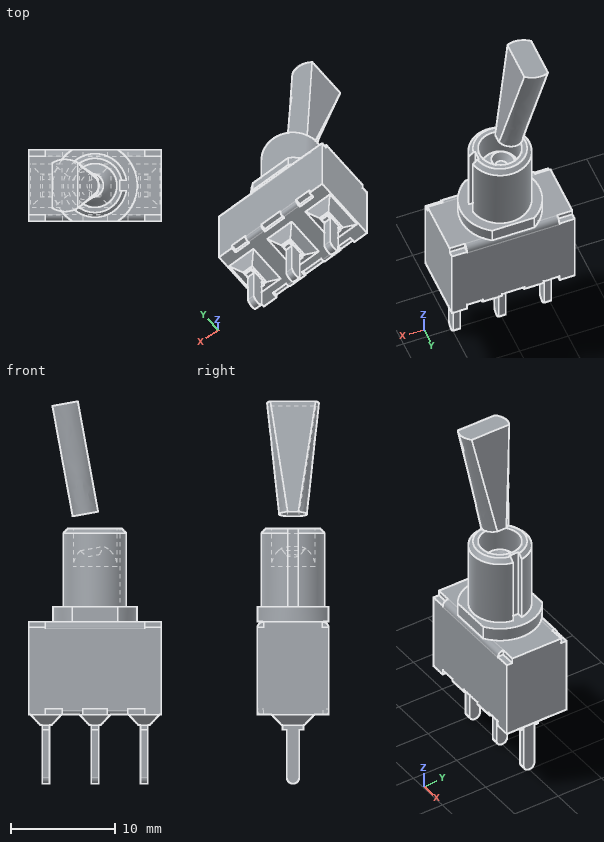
import cadquery as cq
import math


case_length = 12.7
case_width = 6.86
case_height = 8.92
cover_length = 9.55
cover_edge_radius = 0.65
end_strip_length = (case_length - cover_length) / 2
corner_notch_width = 0.62
corner_notch_depth = 0.55

recess_height = 0.54
recess_depth = 0.6
tab_length = 1.95
tab_spacing = 4.3
tab_edge_radius = 0.44

flange_diameter = 8.1
flange_across_flats = 6.82
flange_height = 1.43
flange_top = case_height + flange_height
bushing_diameter = 6.1
bushing_height = 7.5
bushing_top = flange_top + bushing_height
bushing_chamfer = 0.45
keyway_width = 1.0
keyway_floor = 2.38

ball_diameter = 4.2
ball_radius = ball_diameter / 2
ball_center = 14.2
socket_radius = 1.14
socket_end_radius = 0.6
socket_depth = 0.7

lever_tilt = 10.4
lever_start = 5.1
lever_length = 10.78
lever_thickness = 2.5
lever_base_radius = 1.35
lever_tip_radius = 2.5

terminal_pitch = 4.7
terminal_count = 3
terminal_thickness = 0.72
terminal_width = 1.22
terminal_tip = -6.63
shoulder_width = 2.06
shoulder_bottom = -1.45
seal_height = 1.0
seal_base = (3.0, 4.15)
seal_end = (1.1, 2.2)


def make_case():
    """Rectangular case with rounded cover edges, notched corners and a tabbed lower edge."""
    half_length = case_length / 2
    half_width = case_width / 2
    case = cq.Workplane("XY").box(case_length, case_width, case_height, centered=(True, True, False))
    case = case.edges("|X and >Z").fillet(cover_edge_radius)

    for side in (-1, 1):
        end_x = side * (half_length - end_strip_length / 2)
        for face in (-1, 1):
            strip_y = face * (half_width - corner_notch_width / 2)
            strip = (
                cq.Workplane("XY")
                .box(end_strip_length, corner_notch_width, case_height, centered=(True, True, False))
                .translate((end_x, strip_y, 0))
            )
            notch = strip.translate((0, 0, case_height - corner_notch_depth))
            case = case.union(strip).cut(notch)

    for face in (-1, 1):
        recess_y = face * (half_width - recess_depth / 2)
        recess = (
            cq.Workplane("XY")
            .box(cover_length, recess_depth, recess_height, centered=(True, True, False))
            .translate((0, recess_y, 0))
        )
        case = case.cut(recess)
        for side in (-1, 1):
            case = case.union(make_tab(side * tab_spacing / 2, face))
    return case


def make_tab(center_x, face):
    """Cover tab bent inward under the case on the +Y (face = 1) or -Y (face = -1) wall."""
    outer_side = ">Y" if face > 0 else "<Y"
    return (
        cq.Workplane("XY")
        .box(tab_length, recess_depth, recess_height, centered=(True, True, False))
        .edges("|X and <Z and " + outer_side)
        .fillet(tab_edge_radius)
        .translate((center_x, face * (case_width - recess_depth) / 2, 0))
    )


def make_flange():
    """Round flange with a flat on each long side."""
    base = cq.Workplane("XY").workplane(offset=case_height)
    disc = base.circle(flange_diameter / 2).extrude(flange_height)
    flats = cq.Workplane("XY").box(flange_diameter, flange_across_flats, 2 * flange_top)
    return disc.intersect(flats)


def make_bushing():
    """Chamfered tube with a keyway on +X; the bore ends on the upper half of the ball."""
    bushing = (
        cq.Workplane("XY")
        .workplane(offset=flange_top)
        .circle(bushing_diameter / 2)
        .extrude(bushing_height)
        .faces(">Z")
        .chamfer(bushing_chamfer)
    )
    keyway = (
        cq.Workplane("XY")
        .box(bushing_diameter, keyway_width, bushing_height, centered=(False, True, False))
        .translate((keyway_floor, 0, flange_top))
    )
    arc_offset = ball_radius * math.sqrt(0.5)
    bore = (
        cq.Workplane("XZ")
        .moveTo(0, ball_center + ball_radius)
        .threePointArc((arc_offset, ball_center + arc_offset), (ball_radius, ball_center))
        .lineTo(ball_radius, bushing_top)
        .lineTo(0, bushing_top)
        .close()
        .revolve(360, (0, 0, 0), (0, 1, 0))
    )
    return bushing.cut(keyway).cut(bore)


def tilt_to_lever_axis(shape):
    """Move a shape built along Z from the origin onto the tilted axis through the ball center."""
    return shape.rotate((0, 0, 0), (0, 1, 0), -lever_tilt).translate((0, 0, ball_center))


def make_socket():
    """Tapered hole that opens at the ball surface."""
    mouth = math.sqrt(ball_radius**2 - socket_radius**2)
    socket = (
        cq.Workplane("XZ")
        .moveTo(0, mouth - socket_depth)
        .lineTo(socket_end_radius, mouth - socket_depth)
        .lineTo(socket_radius, mouth)
        .lineTo(socket_radius, ball_radius)
        .lineTo(0, ball_radius)
        .close()
        .revolve(360, (0, 0, 0), (0, 1, 0))
    )
    return tilt_to_lever_axis(socket)


def make_terminal(center_x):
    """Flat pin with a shoulder and a rounded tip, sealed to the case by a tapered block."""
    half_width = terminal_width / 2
    half_shoulder = shoulder_width / 2
    round_start = terminal_tip + half_width
    pin = (
        cq.Workplane("YZ")
        .moveTo(-half_shoulder, 0)
        .lineTo(-half_shoulder, shoulder_bottom)
        .lineTo(-half_width, shoulder_bottom)
        .lineTo(-half_width, round_start)
        .threePointArc((0, terminal_tip), (half_width, round_start))
        .lineTo(half_width, shoulder_bottom)
        .lineTo(half_shoulder, shoulder_bottom)
        .lineTo(half_shoulder, 0)
        .close()
        .extrude(terminal_thickness / 2, both=True)
    )
    seal = (
        cq.Workplane("XY")
        .rect(*seal_base)
        .workplane(offset=-seal_height)
        .rect(*seal_end)
        .loft(ruled=True)
    )
    return pin.union(seal).translate((center_x, 0, 0))


def make_switch_body():
    """Case, flange, bushing, ball and terminals as one solid."""
    body = make_case().union(make_flange()).union(make_bushing()).cut(make_socket())
    for index in range(terminal_count):
        center_x = (index - (terminal_count - 1) / 2) * terminal_pitch
        body = body.union(make_terminal(center_x))
    return body


def lever_section(workplane, radius):
    """Circle trimmed by two parallel flats."""
    half_thickness = lever_thickness / 2
    half_flat = math.sqrt(radius**2 - half_thickness**2)
    return (
        workplane.moveTo(-half_thickness, -half_flat)
        .threePointArc((0, -radius), (half_thickness, -half_flat))
        .lineTo(half_thickness, half_flat)
        .threePointArc((0, radius), (-half_thickness, half_flat))
        .close()
    )


def make_lever():
    """Paddle lever of constant thickness that widens toward its tip."""
    base = lever_section(cq.Workplane("XY").workplane(offset=lever_start), lever_base_radius)
    paddle = lever_section(base.workplane(offset=lever_length), lever_tip_radius).loft(ruled=True)
    return tilt_to_lever_axis(paddle)


switch_body = make_switch_body()
lever = make_lever()

result = cq.Compound.makeCompound([switch_body.val(), lever.val()])